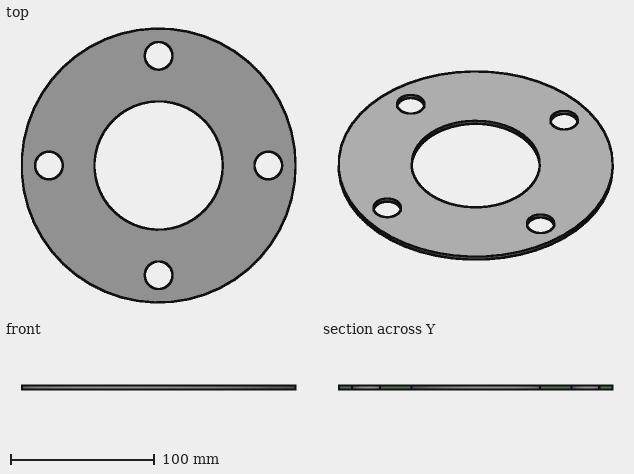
import cadquery as cq

outer_diameter = 190.5
bore_diameter = 89.0
thickness = 3.0
bolt_hole_diameter = 19
bolt_circle_diameter = 152.4
bolt_hole_count = 4

ring = (
    cq.Workplane("XY")
    .circle(outer_diameter / 2)
    .circle(bore_diameter / 2)
    .extrude(thickness)
)

result = (
    ring.faces(">Z")
    .workplane(origin=(0, 0, thickness))
    .polarArray(bolt_circle_diameter / 2, 0, 360, bolt_hole_count)
    .hole(bolt_hole_diameter)
)